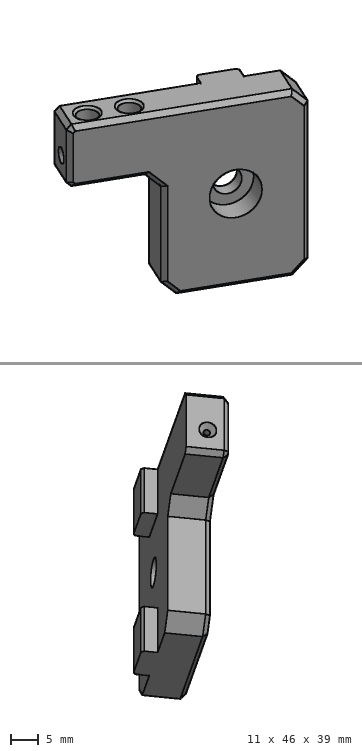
import cadquery as cq

plate_thickness = 8.0
body_width = 28.0
body_height = 39.0
arm_reach = 18.0
arm_height = 13.0
corner_chamfer = 3.0
arm_end_chamfer = 1.0
front_rim_chamfer = 1.0

lug_width = 8.2
lug_depth = 3.0
lug_gap = 20.0
lug_chamfer = 0.5

bolt_hole_diameter = 5.5
bolt_head_diameter = 10.0
bolt_head_depth = 5.0

socket_diameter = 4.3
socket_chamfer = 0.5
socket_depth = 10.0
socket_end_distance = 5.0
socket_pitch = 8.0
socket_count = 2

pilot_diameter = 1.2
pilot_sink_diameter = 3.2
pilot_drop = 8.0

half_width = body_width / 2
half_height = body_height / 2
arm_end_y = -half_width - arm_reach
arm_bottom_z = half_height - arm_height
mid_x = plate_thickness / 2


def make_plate():
    """L-shaped plate with chamfered corners and a chamfered front rim."""
    outline = [
        (half_width, -half_height + corner_chamfer),
        (half_width, half_height - corner_chamfer),
        (half_width - corner_chamfer, half_height),
        (arm_end_y + arm_end_chamfer, half_height),
        (arm_end_y, half_height - arm_end_chamfer),
        (arm_end_y, arm_bottom_z + arm_end_chamfer),
        (arm_end_y + arm_end_chamfer, arm_bottom_z),
        (-half_width - corner_chamfer, arm_bottom_z),
        (-half_width, arm_bottom_z - corner_chamfer),
        (-half_width, -half_height + corner_chamfer),
        (-half_width + corner_chamfer, -half_height),
        (half_width - corner_chamfer, -half_height),
    ]
    plate = cq.Workplane("YZ").polyline(outline).close().extrude(plate_thickness)
    return plate.faces(">X").edges().chamfer(front_rim_chamfer)


def make_lug(side):
    """Lug at the top (side = 1) or bottom (side = -1) of the back face."""
    lug_height = half_height - lug_gap / 2
    lug_center_z = side * (half_height + lug_gap / 2) / 2
    lug = cq.Workplane("XY").box(lug_depth, lug_width, lug_height)
    lug = lug.faces("<X").edges("|Z").chamfer(lug_chamfer)
    return lug.translate((-lug_depth / 2, 0, lug_center_z))


def cut_bolt_hole(body):
    """Through hole along X with the counterbore in the front face."""
    front = cq.Workplane("YZ", origin=(plate_thickness, 0, 0))
    shank = front.circle(bolt_hole_diameter / 2).extrude(-plate_thickness)
    head = front.circle(bolt_head_diameter / 2).extrude(-bolt_head_depth)
    return body.cut(shank).cut(head)


def make_socket(y):
    """Cutter for one blind hole with a chamfered mouth."""
    radius = socket_diameter / 2
    mouth = cq.Workplane("XY", origin=(mid_x, y, half_height))
    bore = mouth.circle(radius).extrude(-socket_depth)
    cone = cq.Solid.makeCone(
        radius + socket_chamfer,
        radius,
        socket_chamfer,
        pnt=cq.Vector(mid_x, y, half_height),
        dir=cq.Vector(0, 0, -1),
    )
    return bore.union(cq.Workplane(cone))


def make_pilot():
    """Cutter for the countersunk pilot hole, ending on the first socket's axis."""
    radius = pilot_diameter / 2
    sink_radius = pilot_sink_diameter / 2
    start = cq.Vector(mid_x, arm_end_y, half_height - pilot_drop)
    inward = cq.Vector(0, 1, 0)
    bore = cq.Solid.makeCylinder(radius, socket_end_distance, start, inward)
    sink = cq.Solid.makeCone(sink_radius, radius, sink_radius - radius, start, inward)
    return cq.Workplane(bore).union(cq.Workplane(sink))


result = make_plate()
for lug_side in (1, -1):
    result = result.union(make_lug(lug_side))
result = cut_bolt_hole(result)
for index in range(socket_count):
    socket_y = arm_end_y + socket_end_distance + index * socket_pitch
    result = result.cut(make_socket(socket_y))
result = result.cut(make_pilot())